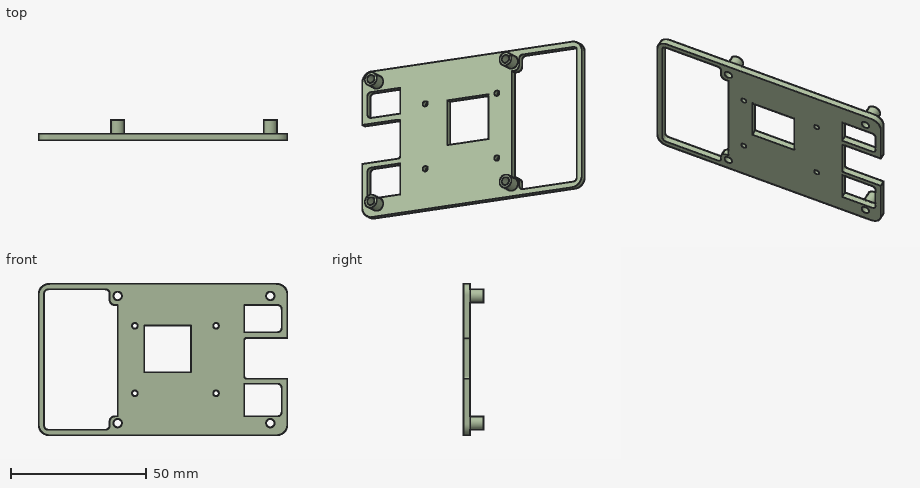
import cadquery as cq

length = 91.9
height = 56.0
thickness = 2.5
corner_radius = 4.0
middle_z = height / 2

total_depth = 7.5
post_length = total_depth - thickness
post_diameter = 5.0
post_bore = 3.0
post_left_x = 29.2
post_spacing_x = 56.35
post_spacing_z = 47.0

small_hole_diameter = 2.0
small_hole_left_x = 35.6
small_hole_spacing_x = 30.0
small_hole_spacing_z = 24.9

frame_width = 2.1
window_radius = 1.5
step_x = 26.2
step_bottom_z = 7.1
step_top_z = 48.1
step_radius = 2.0
selection_margin = 0.1

square_side = 17.2
square_left_x = 39.1
square_bottom_z = 23.35

port_left_x = 76.0
port_right_margin = 2.2
port_right_x = length - port_right_margin
port_radius = 1.5
lower_port_top_z = 19.0
upper_port_bottom_z = 38.15
upper_port_top_z = step_top_z
notch_bottom_z = 21.0
notch_top_z = 35.9
notch_radius = 0.8


def block(left, right, bottom, top):
    """Rectangular block through the plate thickness."""
    return cq.Workplane("XY").box(
        right - left, thickness, top - bottom, centered=False
    ).translate((left, 0, bottom))


def rods(left_x, spacing_x, spacing_z, diameter, start_y, rod_length):
    """Four rods along +Y at the corners of a rectangle centred on middle_z."""
    centers = [
        (left_x + column * spacing_x, middle_z + side * spacing_z / 2)
        for column in (0, 1)
        for side in (-1, 1)
    ]
    return (
        cq.Workplane("XZ", origin=(0, start_y, 0))
        .pushPoints(centers)
        .circle(diameter / 2)
        .extrude(-rod_length)
    )


def window():
    """Rounded window widened to the right between the two post steps."""
    left_part = block(frame_width, step_x, frame_width, height - frame_width)
    left_part = left_part.edges("|Y").fillet(window_radius)
    middle_part = block(step_x - step_radius, post_left_x, step_bottom_z, step_top_z)
    step_corners = cq.selectors.BoxSelector(
        (step_x - selection_margin, -selection_margin, step_bottom_z - selection_margin),
        (step_x + selection_margin, thickness + selection_margin, step_top_z + selection_margin),
    )
    return left_part.union(middle_part).edges("|Y").edges(step_corners).fillet(step_radius)


def port(bottom, top):
    """Opening with its two right corners rounded."""
    return block(port_left_x, port_right_x, bottom, top).edges("|Y and >X").fillet(port_radius)


plate = block(0, length, 0, height).edges("|Y").fillet(corner_radius)
posts = rods(post_left_x, post_spacing_x, post_spacing_z, post_diameter, thickness, post_length)
bores = rods(post_left_x, post_spacing_x, post_spacing_z, post_bore, 0, total_depth)
small_holes = rods(
    small_hole_left_x, small_hole_spacing_x, small_hole_spacing_z, small_hole_diameter, 0, thickness
)
square = block(
    square_left_x, square_left_x + square_side, square_bottom_z, square_bottom_z + square_side
)
notch = block(port_left_x, length, notch_bottom_z, notch_top_z).edges("|Y and <X").fillet(notch_radius)

result = (
    plate.cut(window())
    .cut(square)
    .cut(port(step_bottom_z, lower_port_top_z))
    .cut(port(upper_port_bottom_z, upper_port_top_z))
    .cut(notch)
    .union(posts)
    .cut(bores)
    .cut(small_holes)
)